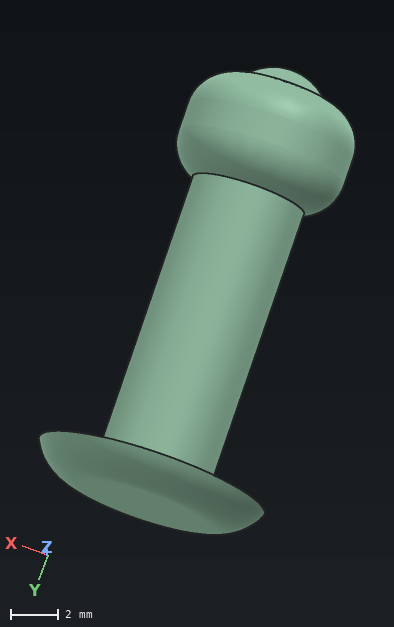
import cadquery as cq
import math

total_length = 19.72

head_radius = 5.038
head_thickness = 1.32
head_rim_arc_radius = 2.25

shank_radius = 2.48

bead_radius = 3.69
bead_length = 4.85
bead_end_flat_radius = 1.87
bead_round_radius = bead_radius - bead_end_flat_radius

dome_height = 0.9

bead_front = dome_height
bead_back = bead_front + bead_length
head_underside = total_length - head_thickness

rim_arc_drop = head_rim_arc_radius - head_thickness
rim_arc_width = math.sqrt(head_rim_arc_radius**2 - rim_arc_drop**2)
head_flat_radius = head_radius - rim_arc_width

shank_offset = shank_radius - bead_end_flat_radius
bead_back_center = bead_back - bead_round_radius
shank_start = bead_back_center + math.sqrt(bead_round_radius**2 - shank_offset**2)

dome_sphere_radius = (bead_end_flat_radius**2 + dome_height**2) / (2 * dome_height)
dome_half_angle = math.asin(bead_end_flat_radius / dome_sphere_radius)


def arc_point(center, radius, angle):
    """Point on a profile arc; the angle is measured from the radial direction toward +Y."""
    return (center[0] + radius * math.cos(angle), center[1] + radius * math.sin(angle))


dome_middle = arc_point((0, dome_sphere_radius), dome_sphere_radius, (dome_half_angle - math.pi) / 2)

bead_front_center = (bead_end_flat_radius, bead_front + bead_round_radius)
bead_front_middle = arc_point(bead_front_center, bead_round_radius, -math.pi / 4)

bead_back_angle = math.acos(shank_offset / bead_round_radius)
bead_back_middle = arc_point(
    (bead_end_flat_radius, bead_back_center), bead_round_radius, bead_back_angle / 2
)

rim_center = (head_flat_radius, total_length - head_rim_arc_radius)
rim_start_angle = math.asin(rim_arc_drop / head_rim_arc_radius)
rim_middle = arc_point(rim_center, head_rim_arc_radius, (rim_start_angle + math.pi / 2) / 2)

profile = (
    cq.Workplane("XY")
    .moveTo(0, 0)
    .threePointArc(dome_middle, (bead_end_flat_radius, bead_front))
    .threePointArc(bead_front_middle, (bead_radius, bead_front_center[1]))
    .lineTo(bead_radius, bead_back_center)
    .threePointArc(bead_back_middle, (shank_radius, shank_start))
    .lineTo(shank_radius, head_underside)
    .lineTo(head_radius, head_underside)
    .threePointArc(rim_middle, (head_flat_radius, total_length))
    .lineTo(0, total_length)
    .close()
)

result = profile.revolve(360, (0, 0, 0), (0, 1, 0))